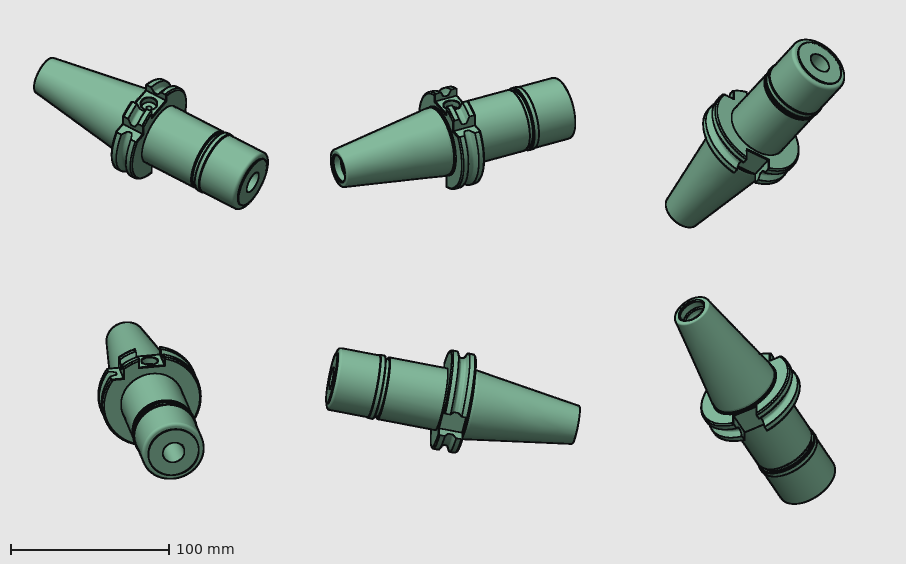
import cadquery as cq
import math


TAPER_RATIO = 7 / 24
GAUGE_DIAMETER = 44.5
GAUGE_X = 68.5
SMALL_END_DIAMETER = GAUGE_DIAMETER - GAUGE_X * TAPER_RATIO
SMALL_END_ROUND = 1.1
COLLAR_LENGTH = 1.9
RELIEF_DIAMETER = 44.0
RELIEF_LENGTH = 0.5
FLARE_DIAMETER = 45.3

FLANGE_DIAMETER = 63.5
FLANGE_START_X = 71.6
FLANGE_END_X = 87.5
FLANGE_CHAMFER = 1.0
MID_FLANGE_X = (FLANGE_START_X + FLANGE_END_X) / 2
GROOVE_FLOOR_DIAMETER = 56.2
GROOVE_MOUTH = 7.3
GROOVE_HALF_ANGLE = 30
GROOVE_ROUND = 1.3
GROOVE_CLEARANCE = 1.6

SLOT_WIDTH = 16.2
TOP_SLOT_FLOOR_Z = 25.0
BOTTOM_SLOT_FLOOR_Z = -22.5
NOTCH_Y = -18.2
NOTCH_Z = 18.2
CUT_CHAMFER = 0.5

POCKET_DIAMETER = 10.1
POCKET_DEPTH = 4.8
POCKET_CHAMFER = 0.3
DIMPLE_DIAMETER = 3.5
DIMPLE_DEPTH = 1.1

BODY_DIAMETER = 39.9
BODY_END_X = 125.1
BODY_CHAMFER = 0.5
NECK_DIAMETER = 37.0
NOSE_DIAMETER = 32.5
HOLDER_LENGTH = 158.4

BORE_DIAMETER = 14.0
COUNTERBORE_DIAMETER = 17.0
COUNTERBORE_DEPTH = 5.5
COUNTERBORE_CHAMFER = 0.8
ENTRY_DIAMETER = 15.2
ENTRY_END_X = 8.7
ENTRY_TAPER_END_X = 11.9

SLEEVE_START_X = 127.5
SLEEVE_END_X = 157.6
SLEEVE_DIAMETER = BODY_DIAMETER
SLEEVE_ROUND = 1.9
RIM_DIAMETER = 40.9
RIM_END_X = 131.3
RIM_CHAMFER = 0.5


def disc(diameter, start_x, end_x):
    """Solid cylinder on the X axis."""
    return cq.Workplane("YZ", origin=(start_x, 0, 0)).circle(diameter / 2).extrude(end_x - start_x)


def revolve_about_x(outline):
    """Full turn of an outline in the XZ plane about the X axis."""
    return outline.close().revolve(360, (0, 0, 0), (1, 0, 0))


def make_shank():
    collar_end_x = GAUGE_X + COLLAR_LENGTH
    taper = revolve_about_x(
        cq.Workplane("XZ")
        .lineTo(0, SMALL_END_DIAMETER / 2)
        .lineTo(GAUGE_X, GAUGE_DIAMETER / 2)
        .lineTo(collar_end_x, GAUGE_DIAMETER / 2)
        .lineTo(collar_end_x, 0)
    )
    taper = taper.faces("<X").edges().fillet(SMALL_END_ROUND)
    relief_end_x = collar_end_x + RELIEF_LENGTH
    relief = disc(RELIEF_DIAMETER, collar_end_x, relief_end_x)
    flare = revolve_about_x(
        cq.Workplane("XZ")
        .moveTo(relief_end_x, 0)
        .lineTo(relief_end_x, RELIEF_DIAMETER / 2)
        .lineTo(FLANGE_START_X, FLARE_DIAMETER / 2)
        .lineTo(FLANGE_START_X, 0)
    )
    return taper.union(relief).union(flare)


def make_v_groove():
    """Ring to cut from the flange: a V with a flat floor and rounded floor corners."""
    floor_radius = GROOVE_FLOOR_DIAMETER / 2
    rim_radius = FLANGE_DIAMETER / 2
    slope = math.tan(math.radians(GROOVE_HALF_ANGLE))
    half_mouth = GROOVE_MOUTH / 2
    half_floor = half_mouth - (rim_radius - floor_radius) * slope
    clear_radius = rim_radius + GROOVE_CLEARANCE
    half_clear = half_mouth + (clear_radius - rim_radius) * slope
    ring = revolve_about_x(
        cq.Workplane("XZ")
        .moveTo(MID_FLANGE_X - half_clear, clear_radius)
        .lineTo(MID_FLANGE_X - half_floor, floor_radius)
        .lineTo(MID_FLANGE_X + half_floor, floor_radius)
        .lineTo(MID_FLANGE_X + half_clear, clear_radius)
    )
    floor_edges = cq.selectors.RadiusNthSelector(0)
    return ring.edges(floor_edges).fillet(GROOVE_ROUND)


def make_flange_cuts():
    """Two drive slots and the corner notch, each passing right through the flange."""
    length = FLANGE_END_X - FLANGE_START_X
    reach = FLANGE_DIAMETER / 2
    start = cq.Workplane("XY", origin=(FLANGE_START_X, 0, 0))
    slot = start.box(length, SLOT_WIDTH, reach, (False, True, False))
    top_slot = slot.translate((0, 0, TOP_SLOT_FLOOR_Z))
    bottom_slot = slot.translate((0, 0, BOTTOM_SLOT_FLOOR_Z - reach))
    notch = start.box(length, reach, reach, False).translate((0, NOTCH_Y - reach, NOTCH_Z))
    return top_slot.union(bottom_slot).union(notch)


def make_flange():
    """Disc with chamfered slots and notch, trimmed to the chamfered rim and grooved."""
    plain_disc = disc(FLANGE_DIAMETER, FLANGE_START_X, FLANGE_END_X)
    chamfered_disc = plain_disc.edges().chamfer(FLANGE_CHAMFER)
    slotted_disc = plain_disc.cut(make_flange_cuts())
    cut_edges = slotted_disc.faces("<X or >X").edges("%LINE")
    broken_disc = cut_edges.chamfer(CUT_CHAMFER)
    return broken_disc.intersect(chamfered_disc).cut(make_v_groove())


def make_body():
    body = disc(BODY_DIAMETER, FLANGE_END_X, BODY_END_X).faces(">X").edges().chamfer(BODY_CHAMFER)
    neck = disc(NECK_DIAMETER, BODY_END_X, SLEEVE_START_X)
    nose = disc(NOSE_DIAMETER, SLEEVE_START_X, HOLDER_LENGTH)
    return body.union(neck).union(nose)


def make_bore():
    """Stepped bore: chamfered counterbore, entry bore and main bore, with a cone at each step."""
    bore_radius = BORE_DIAMETER / 2
    entry_radius = ENTRY_DIAMETER / 2
    counterbore_radius = COUNTERBORE_DIAMETER / 2
    step = counterbore_radius - entry_radius
    return revolve_about_x(
        cq.Workplane("XZ")
        .lineTo(0, counterbore_radius + COUNTERBORE_CHAMFER)
        .lineTo(COUNTERBORE_CHAMFER, counterbore_radius)
        .lineTo(COUNTERBORE_DEPTH, counterbore_radius)
        .lineTo(COUNTERBORE_DEPTH + step, entry_radius)
        .lineTo(ENTRY_END_X, entry_radius)
        .lineTo(ENTRY_TAPER_END_X, bore_radius)
        .lineTo(HOLDER_LENGTH, bore_radius)
        .lineTo(HOLDER_LENGTH, 0)
    )


def make_slot_pocket():
    """Round pocket in the top slot floor: chamfered rim, flat floor and a conical dimple."""
    rim_radius = POCKET_DIAMETER / 2 + POCKET_CHAMFER
    floor_z = TOP_SLOT_FLOOR_Z - POCKET_DEPTH
    return (
        cq.Workplane("XZ", origin=(MID_FLANGE_X, 0, 0))
        .moveTo(0, TOP_SLOT_FLOOR_Z)
        .lineTo(rim_radius, TOP_SLOT_FLOOR_Z)
        .lineTo(POCKET_DIAMETER / 2, TOP_SLOT_FLOOR_Z - POCKET_CHAMFER)
        .lineTo(POCKET_DIAMETER / 2, floor_z)
        .lineTo(DIMPLE_DIAMETER / 2, floor_z)
        .lineTo(0, floor_z - DIMPLE_DEPTH)
        .close()
        .revolve(360, (0, 0, 0), (0, 1, 0))
    )


def make_holder():
    holder = make_shank().union(make_flange()).union(make_body())
    return holder.cut(make_bore()).cut(make_slot_pocket())


def make_sleeve():
    barrel = disc(SLEEVE_DIAMETER, SLEEVE_START_X, SLEEVE_END_X).faces(">X").edges().fillet(SLEEVE_ROUND)
    rim = disc(RIM_DIAMETER, SLEEVE_START_X, RIM_END_X).edges().chamfer(RIM_CHAMFER)
    return barrel.union(rim).cut(disc(NOSE_DIAMETER, SLEEVE_START_X, SLEEVE_END_X))


holder = make_holder()
sleeve = make_sleeve()
result = cq.Compound.makeCompound([holder.val(), sleeve.val()])